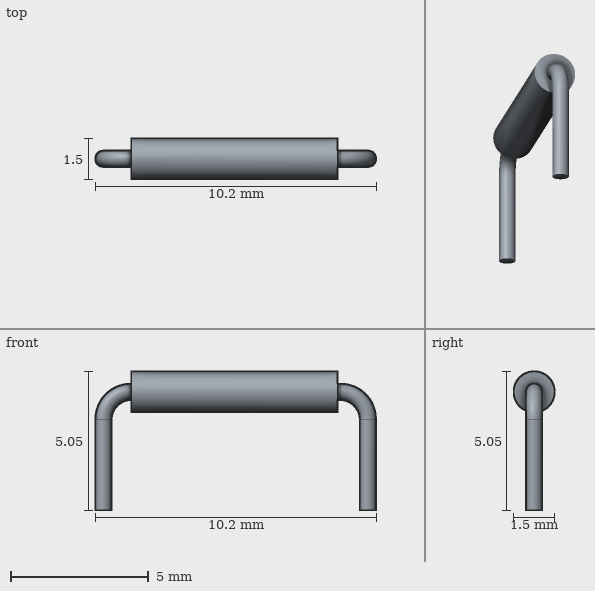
import cadquery as cq

BODY_DIAMETER = 1.5
BODY_LENGTH = 7.5
WIRE_DIAMETER = 0.6
LEAD_PITCH = 9.6
BEND_RADIUS = 1.0
LEG_LENGTH = 3.3

BODY_START_X = BEND_RADIUS
AXIS_Z = LEG_LENGTH + BEND_RADIUS


def make_body():
    """Cylinder lying along X."""
    return (
        cq.Workplane("YZ", origin=(BODY_START_X, 0, AXIS_Z))
        .circle(BODY_DIAMETER / 2)
        .extrude(BODY_LENGTH)
    )


def make_wire():
    """One continuous round wire: up, through the body, and down again."""
    right_bend_x = LEAD_PITCH - BEND_RADIUS
    centreline = (
        cq.Workplane("XZ")
        .lineTo(0, LEG_LENGTH)
        .tangentArcPoint((BEND_RADIUS, AXIS_Z), relative=False)
        .lineTo(right_bend_x, AXIS_Z)
        .tangentArcPoint((LEAD_PITCH, LEG_LENGTH), relative=False)
        .lineTo(LEAD_PITCH, 0)
    )
    return cq.Workplane("XY").circle(WIRE_DIAMETER / 2).sweep(centreline)


result = make_body().union(make_wire())